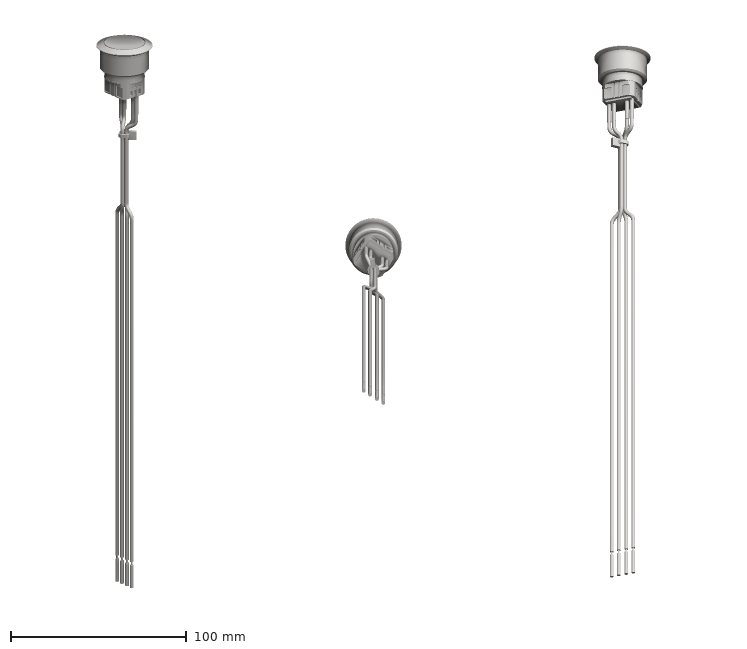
import cadquery as cq


total_length = 330
flange_diameter = 32.0
flange_edge_top = -1.5
flange_edge_bottom = -2.0
flange_underside = -3.3
body_diameter = 28.0
body_bottom = -15.2
body_chamfer = 1.0
collar_diameter = 22.8
collar_bottom = -21.0
lip_diameter = 23
lip_top = -20.0

button_diameter = 22.8
gap_outer_diameter = 24.0
gap_depth = 0.5

block_round_diameter = 22.8
block_length = 19.5
block_width = 17.5
block_bottom = -30.5
base_length = 15.2
base_width = 13.5
base_bottom = -31.5

recess_depth = 0.5
panel_width = 5.3
panel_offset = 6.0
panel_top = -23.5
panel_bottom = -29.7
rib_width = 2.3
rib_groove_width = 0.5
window_width = 1.5
window_offset = 3.0
window_top = -26.0
window_bottom = -29.0
notch_top = -24.0
notch_bottom = -24.8

wire_diameter = 2.2
sleeve_diameter = 2.4
neck_diameter = 1.1
sleeve_row = 3.0
sleeve_bottom = -42.5
gather_start = -45.5
gather_end = -54.5
split_start = -97.0
split_end = -106.3
tip_top = -316.2
neck_length = 2.0
bundle_offset = 1.52
outer_sleeve_x = 7.0
inner_sleeve_x = 4.0
outer_end_x = 6.5
inner_end_x = 2.3
overlap = 0.5

tie_thickness = 1.0
tie_top = -55.0
tie_bottom = -57.0
tie_head_top = -54.0
tie_head_bottom = -59.0
tie_head_inner = 2.3
tie_head_outer = 7.0
tie_head_width = 2.5
tie_head_angle = 52


def box(x_range, y_range, z_range):
    """Box spanning the given ranges."""
    size = [abs(b - a) for a, b in (x_range, y_range, z_range)]
    centre = tuple((a + b) / 2 for a, b in (x_range, y_range, z_range))
    return cq.Workplane("XY").box(*size).translate(centre)


def centred(middle, width):
    """Range of the given width about its middle."""
    return middle - width / 2, middle + width / 2


def rod(diameter, x, y, top, bottom):
    """Vertical round rod."""
    return cq.Workplane("XY", origin=(x, y, bottom)).circle(diameter / 2).extrude(top - bottom)


def head():
    """Flanged round body with the button and the narrower collar under it."""
    body_radius = body_diameter / 2
    collar_radius = collar_diameter / 2
    profile = [
        (0, 0),
        (gap_outer_diameter / 2, 0),
        (flange_diameter / 2, flange_edge_top),
        (flange_diameter / 2, flange_edge_bottom),
        (body_radius, flange_underside),
        (body_radius, body_bottom),
        (body_radius - body_chamfer, body_bottom - body_chamfer),
        (collar_radius, body_bottom - body_chamfer),
        (collar_radius, lip_top),
        (lip_diameter / 2, lip_top),
        (lip_diameter / 2, collar_bottom),
        (0, collar_bottom),
    ]
    solid = cq.Workplane("XZ").polyline(profile).close().revolve(360, (0, 0), (0, 1))
    gap = (
        cq.Workplane("XY")
        .circle(gap_outer_diameter / 2)
        .circle(button_diameter / 2)
        .extrude(-gap_depth)
    )
    return solid.cut(gap)


def terminal_block():
    """Flattened block with recessed panels on its Y walls and windows on its X walls."""
    block = rod(block_round_diameter, 0, 0, collar_bottom, block_bottom)
    block = block.intersect(
        box(centred(0, block_length), centred(0, block_width), (block_bottom, collar_bottom))
    )
    base = box(centred(0, base_length), centred(0, base_width), (base_bottom, block_bottom))
    block = block.union(base)
    for side in (-1, 1):
        wall_y = centred(side * block_width / 2, 2 * recess_depth)
        wall_x = centred(side * block_length / 2, 2 * recess_depth)
        for hand in (-1, 1):
            panel_x = centred(hand * panel_offset, panel_width)
            block = block.cut(box(panel_x, wall_y, (panel_bottom, panel_top)))
            groove_x = centred(hand * (rib_width + rib_groove_width) / 2, rib_groove_width)
            block = block.cut(box(groove_x, wall_y, (block_bottom, collar_bottom)))
            window_y = centred(hand * window_offset, window_width)
            block = block.cut(box(wall_x, window_y, (window_bottom, window_top)))
        slot_y = centred(0, window_width)
        block = block.cut(box(wall_x, slot_y, (block_bottom, window_top)))
        for place in (-1, 0, 1):
            notch_y = centred(place * window_offset, window_width)
            block = block.cut(box(wall_x, notch_y, (notch_bottom, notch_top)))
    return block


def wire(sleeve_x, bundle_x, bundle_y, end_x):
    """One wire: sleeve, bend into the bundle, straight run, bend out, thin neck and tip."""
    down = cq.Vector(0, 0, -1)
    strand_bottom = tip_top + neck_length
    points = [
        cq.Vector(sleeve_x, sleeve_row, sleeve_bottom),
        cq.Vector(sleeve_x, sleeve_row, gather_start),
        cq.Vector(bundle_x, bundle_y, gather_end),
        cq.Vector(bundle_x, bundle_y, split_start),
        cq.Vector(end_x, 0, split_end),
        cq.Vector(end_x, 0, strand_bottom),
    ]
    edges = []
    for index, (start, end) in enumerate(zip(points, points[1:])):
        is_bend = index % 2 == 1
        if is_bend:
            edges.append(cq.Edge.makeSpline([start, end], tangents=[down, down]))
        else:
            edges.append(cq.Edge.makeLine(start, end))
    path = cq.Workplane(cq.Wire.assembleEdges(edges))
    strand = (
        cq.Workplane("XY", origin=points[0].toTuple()).circle(wire_diameter / 2).sweep(path)
    )
    sleeve = rod(sleeve_diameter, sleeve_x, sleeve_row, block_bottom + overlap, sleeve_bottom)
    tip_neck = rod(neck_diameter, end_x, 0, strand_bottom, tip_top)
    tip = rod(wire_diameter, end_x, 0, tip_top, -total_length)
    return strand.union(sleeve).union(tip_neck).union(tip)


def cable_tie():
    """Band hugging the four wires, with its lock turned towards +X +Y."""
    corners = [(bundle_offset, 0), (0, bundle_offset), (-bundle_offset, 0), (0, -bundle_offset)]
    band = (
        cq.Workplane("XY", origin=(0, 0, tie_bottom))
        .polyline(corners)
        .close()
        .offset2D(wire_diameter / 2 + tie_thickness)
        .extrude(tie_top - tie_bottom)
    )
    lock = box(
        (tie_head_inner, tie_head_outer),
        centred(0, tie_head_width),
        (tie_head_bottom, tie_head_top),
    )
    return band.union(lock.rotate((0, 0, 0), (0, 0, 1), tie_head_angle))


result = head().union(terminal_block()).union(cable_tie())
for side in (-1, 1):
    result = result.union(wire(side * outer_sleeve_x, side * bundle_offset, 0, side * outer_end_x))
    result = result.union(wire(side * inner_sleeve_x, 0, side * bundle_offset, side * inner_end_x))